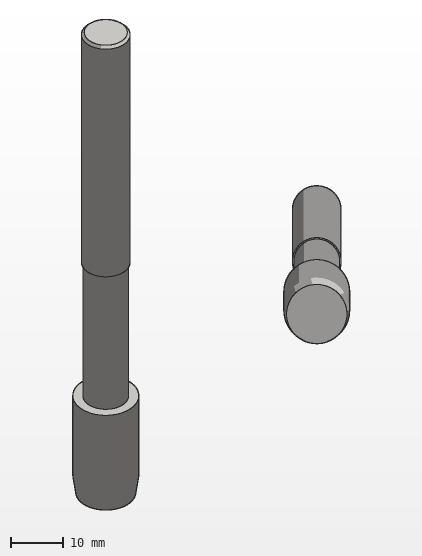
import cadquery as cq

total_length = 110.0
head_length = 23.1
lead_length = 4.0
neck_top = 55.0

head_diameter = 12.6
lead_tip_diameter = 11.5
neck_diameter = 8.8
shank_diameter = 9.4

end_chamfer = 0.5


def make_head():
    """Cylindrical head with a tapered lead at its lower end."""
    tip_radius = lead_tip_diameter / 2
    head_radius = head_diameter / 2
    return (
        cq.Workplane("XZ")
        .moveTo(0, 0)
        .lineTo(tip_radius, 0)
        .lineTo(head_radius, lead_length)
        .lineTo(head_radius, head_length)
        .lineTo(0, head_length)
        .close()
        .revolve(360, (0, 0, 0), (0, 1, 0))
    )


def make_shank():
    """Stepped shank standing on the flat top of the head."""
    neck_radius = neck_diameter / 2
    shank_radius = shank_diameter / 2
    return (
        cq.Workplane("XZ")
        .moveTo(0, head_length)
        .lineTo(neck_radius, head_length)
        .lineTo(neck_radius, neck_top)
        .lineTo(shank_radius, neck_top)
        .lineTo(shank_radius, total_length - end_chamfer)
        .lineTo(shank_radius - end_chamfer, total_length)
        .lineTo(0, total_length)
        .close()
        .revolve(360, (0, 0, 0), (0, 1, 0))
    )


head = make_head()
shank = make_shank()

result = cq.Compound.makeCompound([head.val(), shank.val()])